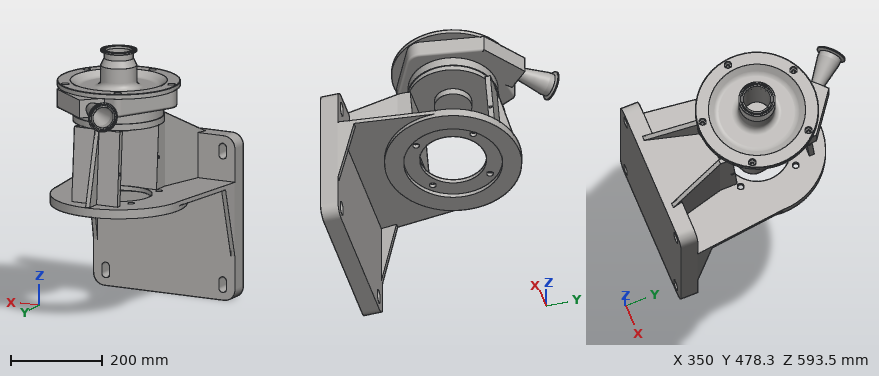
import cadquery as cq
import math

plate_width = 350.0
plate_height = 370.5
plate_thickness = 40.0
plate_corner_radius = 27.0
slot_width = 19.0
slot_length = 35.0
slot_x = 145.0
slot_edge_distance = 35.0

axis_y = 251.0
shelf_top = 269.0
shelf_thickness = 10.0
ring_radius = 150.0
ring_thickness = 20.0
ring_bore_radius = 73.0
motor_recess_radius = 108.0
motor_recess_depth = 10.0
ring_bolt_circle_radius = 92.0
ring_bolt_diameter = 14.0
ring_bolt_count = 4
ring_bolt_start_angle = 45

gusset_thickness = 10.0
gusset_reach = 75.5
gusset_foot_z = 101.5

pedestal_top = 435.0
pedestal_half_width = 56.5
pedestal_radius = 100.5
wall_lean = math.radians(4)
front_wall_inner_y = axis_y - 81.5
rear_wall_inner_y = axis_y + 89.0
rear_wall_thickness = 12.0
rib_angle = math.radians(15)
rib_thickness = 10.0
rib_shoulder_y = 142.0
rib_foot_y = 17.0
rear_rib_foot_y = 396.0
side_hole_diameter = 6.0
side_hole_z = 340.0
side_hole_inset = 6.0

hub_radius = 41.0
hub_bottom = 419.0
collar_radius = pedestal_radius
neck_radius = 98.5
collar_top = 449.0
body_bottom = 473.5
body_top = 514.0
body_apothem = 114.0
body_corner_radius = 34.0
body_rounded_corner_count = 3
body_outlet_corner_radius = 15.0
body_bottom_fillet = 5.5
cover_radius = 135.0
cover_top = 524.5
cover_edge_chamfer = 1.0
cover_bolt_circle_radius = 122.0
cover_bolt_diameter = 8.5
cover_bolt_head_diameter = 16.0
cover_bolt_head_depth = 9.0
cover_bolt_depth = 18.0
first_corner_angle = 45
corner_count = 5
corner_distance = body_apothem / math.cos(math.pi / corner_count)

dish_floor = 510.5
dish_floor_radius = 83.0
dish_fillet_height = 3.5
dish_wall_foot_radius = 93.0
dish_rim_radius = 104.5
dish_rim_chamfer = 2.0

inlet_top = 593.5
inlet_radius = 40.0
inlet_root_fillet = 14.0
inlet_shoulder_z = 558.5
inlet_neck_z = 574.5
inlet_neck_radius = 32.0
inlet_bore_radius = 29.5
inlet_groove_radius = 33.0
inlet_bore_floor = 492.5
ferrule_lip = 3.0
ferrule_taper = 3.0
gasket_groove_width = 3.0
gasket_groove_depth = 1.0

outlet_angle = 135
outlet_offset = 95.0
outlet_z = 492.0
outlet_block_half_width = 29.0
outlet_block_face = 111.0
outlet_taper_end = 176.0
outlet_end = 194.0
outlet_root_radius = 13.5
outlet_neck_radius = 25.5
outlet_flange_radius = 32.5
outlet_bore_radius = 23.0
outlet_groove_radius = 27.0
outlet_bore_root_radius = 10.5

nozzle_root_overlap = 6.0


def polar(radius, angle_degrees):
    """Point at a radius and angle around the pump axis."""
    angle = math.radians(angle_degrees)
    return (radius * math.cos(angle), radius * math.sin(angle))


def cylinder(radius, bottom, top):
    """Vertical cylinder on the pump axis."""
    return cq.Workplane("XY", origin=(0, axis_y, bottom)).circle(radius).extrude(top - bottom)


def side_profile(points, half_width):
    """Prism along X with a Y-Z outline, centred on X = 0."""
    return cq.Workplane("YZ").polyline(points).close().extrude(half_width, both=True)


def make_base_plate():
    middle_z = plate_height / 2
    slot_z = middle_z - slot_edge_distance
    slot_centers = [(x, z) for x in (-slot_x, slot_x) for z in (-slot_z, slot_z)]
    plate = (
        cq.Workplane("XZ", origin=(0, 0, middle_z))
        .rect(plate_width, plate_height)
        .extrude(-plate_thickness)
        .edges("|Y")
        .fillet(plate_corner_radius)
    )
    slots = (
        cq.Workplane("XZ", origin=(0, 0, middle_z))
        .pushPoints(slot_centers)
        .slot2D(slot_length, slot_width, 90)
        .extrude(-plate_thickness)
    )
    return plate.cut(slots)


def shelf_prism(inset, bottom, top):
    """Tapered shelf outline with a round rear end, moved inward at the sides by an inset."""
    root_x = plate_width / 2 - inset
    end_radius = ring_radius - inset
    return (
        cq.Workplane("XY", origin=(0, 0, bottom))
        .moveTo(-root_x, plate_thickness)
        .lineTo(root_x, plate_thickness)
        .lineTo(end_radius, axis_y)
        .threePointArc((0, axis_y + end_radius), (-end_radius, axis_y))
        .close()
        .extrude(top - bottom)
    )


def make_shelf():
    shelf = shelf_prism(0, shelf_top - shelf_thickness, shelf_top)
    ring_bottom = shelf_top - ring_thickness
    ring = cylinder(ring_radius, ring_bottom, shelf_top)
    bore = cylinder(ring_bore_radius, ring_bottom, shelf_top)
    recess = cylinder(motor_recess_radius, ring_bottom, ring_bottom + motor_recess_depth)
    bolt_holes = (
        cq.Workplane("XY", origin=(0, axis_y, ring_bottom))
        .polarArray(ring_bolt_circle_radius, ring_bolt_start_angle, 360, ring_bolt_count)
        .circle(ring_bolt_diameter / 2)
        .extrude(ring_thickness)
    )
    return shelf.union(ring).cut(bore).cut(recess).cut(bolt_holes)


def make_gussets():
    """Two triangular gussets whose outer faces are flush with the shelf sides."""
    triangle = [
        (plate_thickness, gusset_foot_z),
        (gusset_reach, shelf_top - shelf_thickness),
        (gusset_reach, shelf_top),
        (plate_thickness, shelf_top),
    ]
    side_strips = shelf_prism(0, gusset_foot_z, shelf_top).cut(
        shelf_prism(gusset_thickness, gusset_foot_z, shelf_top)
    )
    return side_profile(triangle, plate_width / 2).intersect(side_strips)


def rib_inner_x(y):
    """Half distance between the inner faces of the splayed ribs at a given Y."""
    shoulder_x = pedestal_half_width - rib_thickness / math.cos(rib_angle)
    return shoulder_x + (rib_shoulder_y - y) * math.tan(rib_angle)


def make_front_pedestal():
    """Round-backed front wall with two splayed ribs running onto the base plate."""
    height = pedestal_top - shelf_top
    lean_shift = height * math.tan(wall_lean)
    rib_spread = (rib_shoulder_y - rib_foot_y) * math.tan(rib_angle)

    core = cylinder(pedestal_radius, shelf_top, pedestal_top).intersect(
        cq.Workplane("XY", origin=(0, axis_y, shelf_top))
        .rect(2 * pedestal_half_width, 2 * pedestal_radius)
        .extrude(height)
    )
    rib = (
        cq.Workplane("XY", origin=(0, 0, shelf_top))
        .polyline(
            [
                (pedestal_half_width + rib_spread, rib_foot_y),
                (pedestal_half_width, rib_shoulder_y),
                (pedestal_half_width, axis_y),
                (rib_inner_x(axis_y), axis_y),
                (rib_inner_x(rib_foot_y), rib_foot_y),
            ]
        )
        .close()
        .extrude(height)
    )
    profile = [
        (rib_foot_y, shelf_top),
        (rib_foot_y, plate_height),
        (rib_shoulder_y, pedestal_top),
        (front_wall_inner_y, pedestal_top),
        (front_wall_inner_y + lean_shift, shelf_top),
    ]
    plan = core.union(rib).union(rib.mirror("YZ"))
    return plan.intersect(side_profile(profile, plate_width / 2))


def make_rib_filler():
    """Solid block between the ribs, level with the top of the base plate."""
    front_x = rib_inner_x(plate_thickness)
    rear_x = rib_inner_x(front_wall_inner_y)
    return (
        cq.Workplane("XY", origin=(0, 0, shelf_top))
        .polyline(
            [
                (-front_x, plate_thickness),
                (front_x, plate_thickness),
                (rear_x, front_wall_inner_y),
                (-rear_x, front_wall_inner_y),
            ]
        )
        .close()
        .extrude(plate_height - shelf_top)
    )


def make_rear_pedestal():
    """Leaning flat wall braced by one central rib."""
    lean_shift = (pedestal_top - shelf_top) * math.tan(wall_lean)
    outer_y = rear_wall_inner_y + rear_wall_thickness
    wall = side_profile(
        [
            (rear_wall_inner_y, pedestal_top),
            (outer_y, pedestal_top),
            (outer_y + lean_shift, shelf_top),
            (rear_wall_inner_y + lean_shift, shelf_top),
        ],
        pedestal_half_width,
    )
    rib = side_profile(
        [
            (rear_wall_inner_y, pedestal_top),
            (outer_y, pedestal_top),
            (rear_rib_foot_y, shelf_top),
            (rear_wall_inner_y + lean_shift, shelf_top),
        ],
        rib_thickness / 2,
    )
    return wall.union(rib)


def make_side_holes():
    """Small cross holes through the front and rear pedestal walls."""
    lean_shift = (pedestal_top - side_hole_z) * math.tan(wall_lean)
    front_y = front_wall_inner_y + lean_shift - side_hole_inset
    rear_y = rear_wall_inner_y + lean_shift + side_hole_inset
    return (
        cq.Workplane("YZ")
        .pushPoints([(front_y, side_hole_z), (rear_y, side_hole_z)])
        .circle(side_hole_diameter / 2)
        .extrude(pedestal_half_width, both=True)
    )


def make_body():
    """Five-sided housing; the first corner stays sharp to meet the outlet block."""
    corner_step = 360 / corner_count
    corners = [
        polar(corner_distance, first_corner_angle + i * corner_step) for i in range(corner_count)
    ]
    body = (
        cq.Workplane("XY", origin=(0, axis_y, body_bottom))
        .polyline(corners)
        .close()
        .extrude(body_top - body_bottom)
    )
    corner_radii = [body_outlet_corner_radius] + body_rounded_corner_count * [body_corner_radius]
    for (corner_x, corner_y), fillet_radius in zip(corners[1:], corner_radii):
        nearest = cq.selectors.NearestToPointSelector(
            (corner_x, axis_y + corner_y, (body_bottom + body_top) / 2)
        )
        body = body.edges(nearest).fillet(fillet_radius)
    return body.faces("<Z").edges().fillet(body_bottom_fillet)


def outlet_point(distance, offset):
    """Point measured along the outlet direction and sideways from the pump axis."""
    along = polar(distance, outlet_angle)
    across = polar(offset, outlet_angle - 90)
    return (along[0] + across[0], along[1] + across[1])


def make_outlet_block():
    inner_offset = outlet_offset - outlet_block_half_width
    outer_offset = outlet_offset + outlet_block_half_width
    return (
        cq.Workplane("XY", origin=(0, axis_y, body_bottom))
        .polyline(
            [
                outlet_point(0, inner_offset),
                outlet_point(outlet_block_face, inner_offset),
                outlet_point(outlet_block_face, outer_offset),
                polar(corner_distance, first_corner_angle),
            ]
        )
        .close()
        .extrude(body_top - body_bottom)
    )


def outlet_turned(profile):
    """Solid turned about the outlet axis; profile points are (radius, distance)."""
    start_x, start_y = outlet_point(0, outlet_offset)
    direction = polar(1, outlet_angle)
    plane = cq.Plane(
        origin=(start_x, axis_y + start_y, outlet_z),
        xDir=(0, 0, 1),
        normal=cq.Vector(0, 0, 1).cross(cq.Vector(direction[0], direction[1], 0)),
    )
    return cq.Workplane(plane).polyline(profile).close().revolve(360, (0, 0), (0, 1))


def make_outlet_nozzle():
    lip_start = outlet_end - ferrule_lip
    return outlet_turned(
        [
            (0, outlet_block_face - nozzle_root_overlap),
            (outlet_root_radius, outlet_block_face - nozzle_root_overlap),
            (outlet_root_radius, outlet_block_face),
            (outlet_neck_radius, outlet_taper_end),
            (outlet_neck_radius, lip_start - ferrule_taper),
            (outlet_flange_radius, lip_start),
            (outlet_flange_radius, outlet_end),
            (0, outlet_end),
        ]
    )


def make_outlet_bore():
    return outlet_turned(
        [
            (0, outlet_block_face),
            (outlet_bore_root_radius, outlet_block_face),
            (outlet_bore_radius, outlet_taper_end),
            (outlet_bore_radius, outlet_end),
            (0, outlet_end),
        ]
    )


def make_outlet_groove():
    """Gasket groove in the outlet ferrule face."""
    outer_radius = outlet_groove_radius + gasket_groove_width
    return outlet_turned(
        [
            (outlet_groove_radius, outlet_end - gasket_groove_depth),
            (outer_radius, outlet_end - gasket_groove_depth),
            (outer_radius, outlet_end),
            (outlet_groove_radius, outlet_end),
        ]
    )


def make_inlet_groove():
    """Gasket groove in the inlet ferrule face."""
    bottom = inlet_top - gasket_groove_depth
    outer = cylinder(inlet_groove_radius + gasket_groove_width, bottom, inlet_top)
    return outer.cut(cylinder(inlet_groove_radius, bottom, inlet_top))


def make_turned_housing():
    """Hub, collar, cover with its dish, and inlet pipe, turned as one profile."""
    fillet_diagonal = inlet_root_fillet * (1 - math.cos(math.pi / 4))
    root_outer_radius = inlet_radius + inlet_root_fillet
    root_top = dish_floor + inlet_root_fillet
    lip_start = inlet_top - ferrule_lip
    fillet_run = dish_wall_foot_radius - dish_floor_radius
    half_turn = math.atan(dish_fillet_height / fillet_run)
    fillet_radius = fillet_run / math.sin(2 * half_turn)
    dish_fillet_mid = (
        dish_floor_radius + fillet_radius * math.sin(half_turn),
        dish_floor + fillet_radius * (1 - math.cos(half_turn)),
    )
    return (
        cq.Workplane("XZ", origin=(0, axis_y, 0))
        .moveTo(0, hub_bottom)
        .lineTo(hub_radius, hub_bottom)
        .lineTo(hub_radius, pedestal_top)
        .lineTo(collar_radius, pedestal_top)
        .lineTo(collar_radius, collar_top)
        .lineTo(neck_radius, collar_top)
        .lineTo(neck_radius, body_top)
        .lineTo(cover_radius, body_top)
        .lineTo(cover_radius, cover_top - cover_edge_chamfer)
        .lineTo(cover_radius - cover_edge_chamfer, cover_top)
        .lineTo(dish_rim_radius + dish_rim_chamfer, cover_top)
        .lineTo(dish_rim_radius, cover_top - dish_rim_chamfer)
        .lineTo(dish_wall_foot_radius, dish_floor + dish_fillet_height)
        .threePointArc(dish_fillet_mid, (dish_floor_radius, dish_floor))
        .lineTo(root_outer_radius, dish_floor)
        .threePointArc(
            (inlet_radius + fillet_diagonal, dish_floor + fillet_diagonal),
            (inlet_radius, root_top),
        )
        .lineTo(inlet_radius, inlet_shoulder_z)
        .lineTo(inlet_neck_radius, inlet_neck_z)
        .lineTo(inlet_neck_radius, lip_start - ferrule_taper)
        .lineTo(inlet_radius, lip_start)
        .lineTo(inlet_radius, inlet_top)
        .lineTo(inlet_bore_radius, inlet_top)
        .lineTo(inlet_bore_radius, inlet_bore_floor)
        .lineTo(0, inlet_bore_floor)
        .close()
        .revolve(360, (0, 0), (0, 1))
    )


def make_body_ring():
    """Five-sided body and outlet block, bored to fit around the turned housing."""
    return make_body().union(make_outlet_block()).cut(cylinder(neck_radius, body_bottom, body_top))


def make_cover_bolts():
    """Stepped blind bolt holes over the five body corners."""
    def holes(diameter, depth):
        return (
            cq.Workplane("XY", origin=(0, axis_y, cover_top - depth))
            .polarArray(cover_bolt_circle_radius, first_corner_angle, 360, corner_count)
            .circle(diameter / 2)
            .extrude(depth)
        )

    heads = holes(cover_bolt_head_diameter, cover_bolt_head_depth)
    return heads.union(holes(cover_bolt_diameter, cover_bolt_depth))


bracket = make_base_plate().union(make_shelf()).union(make_gussets())
bracket = bracket.union(make_front_pedestal()).union(make_rib_filler())
bracket = bracket.union(make_rear_pedestal()).cut(make_side_holes())

pump = make_turned_housing().union(make_body_ring()).union(make_outlet_nozzle())
pump = pump.cut(make_outlet_bore()).cut(make_cover_bolts())
pump = pump.cut(make_outlet_groove()).cut(make_inlet_groove())

result = bracket.union(pump)